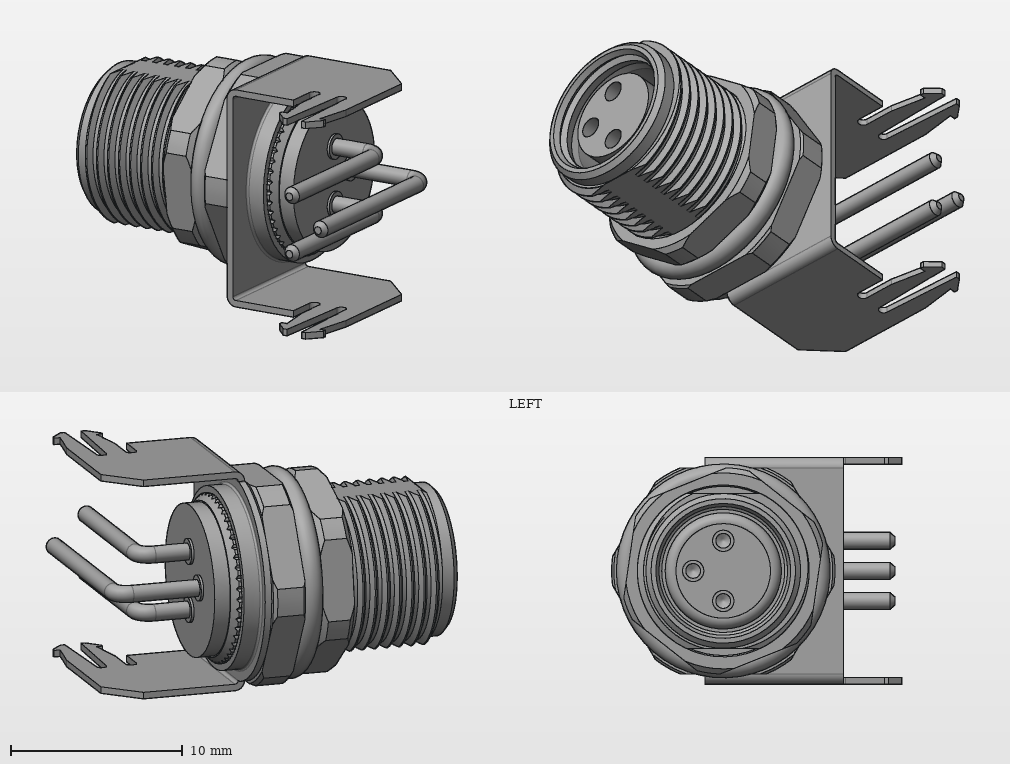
import cadquery as cq
import math


nose_end = 1.05
nut_start = 6.8
nut_end = 8.75
flange_start = 10.05
flange_end = 12.0
plate_thickness = 0.4
collar_end = 13.5
knurl_cone_start = 13.65
housing_end = 14.05
insert_end = 15.0

nose_radius = 4.5
nose_chamfer = 0.3
thread_radius = 5.0
thread_pitch = 0.75
thread_depth = 0.36
thread_crest_width = thread_pitch / 8
thread_half_angle = math.radians(30)
groove_start = 0.39
thread_flat_height = 4.515
rim_radius = 3.92
entry_ridge_radius = 3.74
entry_ridge_position = 0.35
entry_groove_position = 0.6
lip_radius = 3.58
lip_position = 0.8
snap_groove_radius = 3.72
snap_groove_position = 1.35
bore_radius = lip_radius
bore_start = 1.8
flange_across_flats = 12.0
flange_corner_radius = 6.5
flange_front_chamfer = 0.13
flange_rear_chamfer = 0.2
knurl_radius = 5.0
knurl_depth = 0.12
knurl_groove_share = 0.5
knurl_teeth = 50
housing_end_radius = 4.6

nut_across_flats = 11.0
nut_corner_radius = 6.0
nut_chamfer = 0.3
nut_rotation = 38.2
panel_seal_wire_radius = (flange_start - nut_end) / 2
panel_seal_outer_radius = 6.22
panel_seal_ring_radius = panel_seal_outer_radius - panel_seal_wire_radius
neck_radius = panel_seal_ring_radius - panel_seal_wire_radius
socket_seal_wire_radius = 0.54
socket_seal_ring_radius = 2.84
socket_seal_position = 5.0

insert_face = 0.8
carrier_radius = 2.75
socket_floor = 6.0
insert_cap_radius = 4.515
pin_boss_radius = 0.76
pin_boss_height = 0.15

pin_circle_radius = 1.75
pin_radius = 0.5
contact_radius = 0.62
contact_start = 1.8
contact_end = 4.0
contact_bore_radius = 0.43
contact_bore_end = 3.2
drill_half_angle = math.radians(59)
pin_bend_radius = 0.85
pin_tip_y = -10.0
pin_tip_length = 0.3
pin_tip_inset = 0.27
front_leg_x = 18.1
rear_leg_x = 20.05
pin_places = [
    (pin_circle_radius, 0, rear_leg_x),
    (0, pin_circle_radius, front_leg_x),
    (0, -pin_circle_radius, front_leg_x),
]

bracket_half_height = 6.6
plate_half_height = 6.0
plate_top_y = 6.0
plate_side_y = 1.28
wing_top_y = 1.07
bracket_bottom_y = -7.0
bend_inner_radius = 0.2
bend_outer_radius = bend_inner_radius + plate_thickness
collar_radius = 5.41
collar_fillet = 0.13
wing_end = 20.17
wing_corner = 1.96
clip_center = 18.68
relief_slot_width = 0.66
relief_slot_top = -4.88
clip_slot_width = 0.6
clip_slot_bottom_width = 1.0
clip_taper_y = -7.1
clip_neck_half_width = 1.12
barb_shoulder_y = -9.37
barb_edge_y = -9.6
clip_tip_half_width = 0.77
clip_tip_y = -10.39


def turned(points):
    """Solid of revolution about the X axis from (x, radius) points."""
    return cq.Workplane("XY").polyline(points).close().revolve(360, (0, 0, 0), (1, 0, 0))


def cylinder(start, end, radius, y=0, z=0):
    """Cylinder along X between two stations."""
    plane = cq.Workplane("YZ", origin=(start, y, z))
    return plane.circle(radius).extrude(end - start)


def ring(position, ring_radius, wire_radius):
    """Round-section ring around the X axis."""
    section = cq.Workplane("XY").center(position, ring_radius).circle(wire_radius)
    return section.revolve(360, (-position, -ring_radius, 0), (1 - position, -ring_radius, 0))


def hexagon(start, end, across_flats, corner_radius, front_chamfer, rear_chamfer):
    """Hexagon prism along X, a corner toward +Y, with its corners turned down and chamfered."""
    across_corners = across_flats / math.cos(math.pi / 6)
    prism = cq.Workplane("YZ", origin=(start, 0, 0)).polygon(6, across_corners).extrude(end - start)
    blank = cylinder(start, end, corner_radius)
    blank = blank.faces("<X").chamfer(front_chamfer).faces(">X").chamfer(rear_chamfer)
    return prism.intersect(blank)


def thread_groove():
    """Right-handed helical V groove with a narrow flat bottom, from the nose to the nut's rear face."""
    flank_run = math.tan(thread_half_angle)
    clearance = 0.1
    inner_radius = thread_radius - thread_depth
    outer_radius = thread_radius + clearance
    mouth_half = (thread_pitch - thread_crest_width) / 2
    inner_half = mouth_half - thread_depth * flank_run
    outer_half = mouth_half + clearance * flank_run
    helix = cq.Wire.makeHelix(thread_pitch, nut_end - groove_start, thread_radius)
    section = cq.Workplane("XZ").polyline([
        (inner_radius, -inner_half),
        (outer_radius, -outer_half),
        (outer_radius, outer_half),
        (inner_radius, inner_half),
    ]).close()
    groove = section.sweep(cq.Workplane(obj=helix), isFrenet=True)
    return groove.rotate((0, 0, 0), (1, 1, 1), 120).translate((groove_start, 0, 0))


def threaded_barrel():
    """External thread with two opposite flats."""
    barrel = cylinder(nose_end, nut_end, thread_radius).cut(thread_groove())
    flats = cq.Workplane("YZ", origin=(nose_end, 0, 0))
    flats = flats.rect(2 * thread_radius, 2 * thread_flat_height).extrude(nut_end - nose_end)
    return barrel.intersect(flats)


def knurled_end():
    """Rear end with straight V-groove knurling, tapered behind the bracket collar."""
    tooth_pitch = 2 * math.pi / knurl_teeth
    groove_half = tooth_pitch * knurl_groove_share / 2
    bottom_radius = knurl_radius - knurl_depth
    points = []
    for i in range(knurl_teeth):
        angle = tooth_pitch * i
        groove = [(-groove_half, knurl_radius), (0, bottom_radius), (groove_half, knurl_radius)]
        for turn, radius in groove:
            points.append((radius * math.cos(angle + turn), radius * math.sin(angle + turn)))
    length = housing_end - flange_end
    star = cq.Workplane("YZ", origin=(flange_end, 0, 0)).polyline(points).close().extrude(length)
    taper = turned([
        (flange_end, 0),
        (flange_end, knurl_radius),
        (knurl_cone_start, knurl_radius),
        (housing_end, housing_end_radius),
        (housing_end, 0),
    ])
    return star.intersect(taper)


def make_housing():
    nose = cylinder(0, nose_end, nose_radius).faces("<X").chamfer(nose_chamfer)
    neck = cylinder(nut_end, flange_start, neck_radius)
    flange = hexagon(
        flange_start,
        flange_end,
        flange_across_flats,
        flange_corner_radius,
        flange_front_chamfer,
        flange_rear_chamfer,
    )
    bore = turned([
        (0, 0),
        (0, rim_radius),
        (entry_ridge_position, entry_ridge_radius),
        (entry_groove_position, rim_radius),
        (lip_position, lip_radius),
        (snap_groove_position, snap_groove_radius),
        (bore_start, bore_radius),
        (housing_end, bore_radius),
        (housing_end, 0),
    ])
    body = threaded_barrel().union(nose).union(neck).union(flange).union(knurled_end())
    return body.cut(bore)


def make_nut():
    nut = hexagon(nut_start, nut_end, nut_across_flats, nut_corner_radius, nut_chamfer, nut_chamfer)
    nut = nut.rotate((0, 0, 0), (1, 0, 0), nut_rotation)
    return nut.cut(cylinder(nut_start, nut_end, thread_radius))


def make_insert():
    """Contact carrier filling the rear bore, with an open socket around its front."""
    insert = turned([
        (insert_face, 0),
        (insert_face, carrier_radius),
        (socket_floor, carrier_radius),
        (socket_floor, bore_radius),
        (housing_end, bore_radius),
        (housing_end, insert_cap_radius),
        (insert_end, insert_cap_radius),
        (insert_end, 0),
    ])
    insert = insert.cut(ring(socket_seal_position, socket_seal_ring_radius, socket_seal_wire_radius))
    boss_end = insert_end + pin_boss_height
    for y, z, _ in pin_places:
        insert = insert.union(cylinder(insert_end, boss_end, pin_boss_radius, y, z))
        insert = insert.cut(cylinder(insert_face, contact_end, contact_radius, y, z))
        insert = insert.cut(cylinder(contact_end, boss_end, pin_radius, y, z))
    return insert


def make_pin(y, z, leg_x):
    """Right-angle pin: a drilled contact, a run along X, a round bend, and a leg toward -Y."""
    bend_start = leg_x - pin_bend_radius
    bend_mid = pin_bend_radius * math.sin(math.pi / 4)
    bend_middle = (bend_start + bend_mid, y - pin_bend_radius + bend_mid)
    path = (
        cq.Workplane("XY", origin=(0, 0, z))
        .moveTo(contact_end, y)
        .lineTo(bend_start, y)
        .threePointArc(bend_middle, (leg_x, y - pin_bend_radius))
        .lineTo(leg_x, pin_tip_y)
    )
    pin = cq.Workplane("YZ", origin=(contact_end, y, z)).circle(pin_radius).sweep(path)
    tip_plane = cq.Workplane("XY", origin=(leg_x, 0, z))
    tip_corner = tip_plane.polyline([
        (pin_radius, pin_tip_y),
        (pin_radius, pin_tip_y + pin_tip_length),
        (pin_radius - pin_tip_inset, pin_tip_y),
    ]).close().revolve(360, (0, 0, 0), (0, 1, 0))
    contact = cylinder(contact_start, contact_end, contact_radius, y, z)
    drilled_hole = turned([
        (contact_start, 0),
        (contact_start, contact_bore_radius),
        (contact_bore_end, contact_bore_radius),
        (contact_bore_end + contact_bore_radius / math.tan(drill_half_angle), 0),
    ])
    contact = contact.cut(drilled_hole.translate((0, y, z)))
    return pin.cut(tip_corner).union(contact)


def wing_outline():
    """Side wing outline: a plate with a cut corner and a split, barbed clip."""
    neck_left = clip_center - clip_neck_half_width
    neck_right = clip_center + clip_neck_half_width
    clip_half_width = wing_end - clip_center
    clip_left = clip_center - clip_half_width
    relief_radius = relief_slot_width / 2
    relief_left = clip_left - relief_slot_width
    relief_spring_y = relief_slot_top - relief_radius
    slot_radius = clip_slot_width / 2
    slot_spring_y = relief_slot_top - slot_radius
    slot_half_bottom = clip_slot_bottom_width / 2
    return (
        cq.Workplane("XY")
        .moveTo(flange_end, wing_top_y)
        .lineTo(wing_end - wing_corner, wing_top_y)
        .lineTo(wing_end, wing_top_y - wing_corner)
        .lineTo(wing_end, clip_taper_y)
        .lineTo(neck_right, barb_shoulder_y)
        .lineTo(wing_end, barb_shoulder_y)
        .lineTo(wing_end, barb_edge_y)
        .lineTo(clip_center + clip_tip_half_width, clip_tip_y)
        .lineTo(clip_center + slot_half_bottom, clip_tip_y)
        .lineTo(clip_center + slot_radius, slot_spring_y)
        .threePointArc((clip_center, relief_slot_top), (clip_center - slot_radius, slot_spring_y))
        .lineTo(clip_center - slot_half_bottom, clip_tip_y)
        .lineTo(clip_center - clip_tip_half_width, clip_tip_y)
        .lineTo(clip_left, barb_edge_y)
        .lineTo(clip_left, barb_shoulder_y)
        .lineTo(neck_left, barb_shoulder_y)
        .lineTo(clip_left, clip_taper_y)
        .lineTo(clip_left, relief_spring_y)
        .threePointArc((clip_left - relief_radius, relief_slot_top), (relief_left, relief_spring_y))
        .lineTo(relief_left, bracket_bottom_y)
        .lineTo(flange_end, bracket_bottom_y)
        .close()
    )


def make_bracket():
    """U-shaped sheet bracket with two clip wings and a drawn collar."""
    plate_end = flange_end + plate_thickness

    folded = wing_outline().extrude(bracket_half_height, both=True)
    folded = folded.edges("|Y and <X").fillet(bend_outer_radius)
    inside_length = wing_end - flange_end
    inside_width = 2 * (wing_top_y - clip_tip_y)
    inside_height = 2 * (bracket_half_height - plate_thickness)
    inside = cq.Workplane("XY", origin=(plate_end + inside_length / 2, 0, 0))
    inside = inside.box(inside_length, inside_width, inside_height)
    folded = folded.cut(inside.edges("|Y and <X").fillet(bend_inner_radius))

    crown = (
        cq.Workplane("YZ", origin=(flange_end, 0, 0))
        .moveTo(0, -plate_half_height)
        .lineTo(plate_side_y, -plate_half_height)
        .threePointArc((plate_top_y, 0), (plate_side_y, plate_half_height))
        .lineTo(0, plate_half_height)
        .close()
        .extrude(plate_thickness)
    )
    fillet_radius = collar_radius + collar_fillet
    inset = collar_fillet * (1 - math.sin(math.pi / 4))
    collar = (
        cq.Workplane("XY")
        .moveTo(flange_end, 0)
        .lineTo(flange_end, collar_radius)
        .lineTo(plate_end, fillet_radius)
        .threePointArc((plate_end + inset, collar_radius + inset), (plate_end + collar_fillet, collar_radius))
        .lineTo(collar_end, collar_radius)
        .lineTo(collar_end, 0)
        .close()
        .revolve(360, (0, 0, 0), (1, 0, 0))
    )
    opening = cylinder(flange_end, collar_end, knurl_radius)
    return folded.union(crown).union(collar).cut(opening)


housing = make_housing()
nut = make_nut()
panel_seal = ring((nut_end + flange_start) / 2, panel_seal_ring_radius, panel_seal_wire_radius)
socket_seal = ring(socket_seal_position, socket_seal_ring_radius, socket_seal_wire_radius)
insert = make_insert()
bracket = make_bracket()
pins = [make_pin(y, z, leg_x) for y, z, leg_x in pin_places]

result = cq.Compound.makeCompound([
    housing.val(),
    nut.val(),
    panel_seal.val(),
    socket_seal.val(),
    insert.val(),
    bracket.val(),
    *[pin.val() for pin in pins],
])